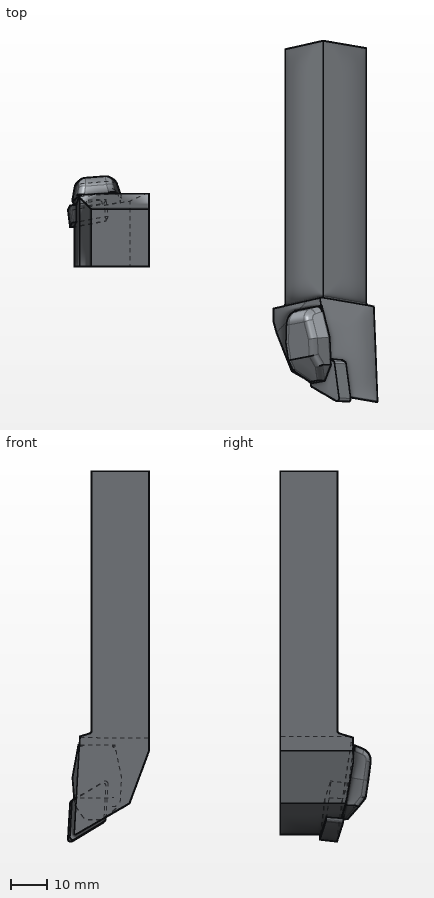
import cadquery as cq
import math


CUT_REACH = 40.6
SELECTION_MARGIN = 0.1

SHANK_WIDTH = 15.8
SHANK_DEPTH = 15.7
TOTAL_LENGTH = 101.6
HEAD_DEPTH = 20.0
HEAD_OVERHANG = 3.1
SHOULDER_Z = 29.9
SHOULDER_DROP_ANGLE = 17.0
SHOULDER_FILLET = 0.6
HEAD_LEAD_ANGLE = 3.3
TIP_Z = 1.7
TIP_FILLET = 0.3
END_RELIEF_ANGLE = 30.0
HEEL_X = 10.5
HEEL_TOP_Z = 25.0

SEAT_Y = 15.6
SEAT_TILT_ACROSS = 4.5
SEAT_TILT_ALONG = 8.4

DOME_AXIS_X = 1.7
DOME_TOP_Y = 26.8
DOME_WIDEST_Y = 17.9
DOME_NECK_Y = 10.3
DOME_NOSE_Y = 6.2
DOME_TOP_HALF_WIDTH = 5.0
DOME_HALF_WIDTH = 6.7
DOME_NECK_HALF_WIDTH = 6.2
DOME_NOSE_LEFT_X = -1.7
DOME_NOSE_RIGHT_X = 3.0
DOME_HEIGHT = 5.6
DOME_RIM = 0.5
DOME_DRAFT = 14.0
DOME_EDGE_RADIUS = 2.0
DOME_END_RADIUS = 3.7
RAMP_TOP_Y = 13.0
RAMP_NOSE_HEIGHT = 1.6

INSERT_EDGE = 11.7
INSERT_ANGLE = 55.0
INSERT_LEAD_ANGLE = 4.2
INSERT_THICKNESS = 4.8
INSERT_NOSE_RADIUS = 0.8
INSERT_TIP_X = -6.6
INSERT_SEAT_Y = 16.3
INSERT_TILT_ACROSS = 7.0
INSERT_TILT_ALONG = 6.5


def tan(degrees):
    return math.tan(math.radians(degrees))


def tilted_plane(height, tilt_across, tilt_along):
    """Plane Y = height + X tan(tilt_across) + Z tan(tilt_along); its normal points into the holder."""
    across = tan(tilt_across)
    along = tan(tilt_along)
    return cq.Plane(origin=(0, height, 0), xDir=(1, across, 0), normal=(across, -1, along))


SEAT = tilted_plane(SEAT_Y, SEAT_TILT_ACROSS, SEAT_TILT_ALONG)
INSERT_FACE = tilted_plane(INSERT_SEAT_Y, INSERT_TILT_ACROSS, INSERT_TILT_ALONG)


def make_shank():
    """Straight rectangular bar above the heel."""
    return (
        cq.Workplane("XY", origin=(0, 0, HEEL_TOP_Z))
        .rect(SHANK_WIDTH, SHANK_DEPTH, centered=False)
        .extrude(TOTAL_LENGTH - HEEL_TOP_Z)
    )


def make_head():
    """Wider lower end of the holder, with two slopes leading up to the shank."""
    shoulder_drop = HEAD_OVERHANG * tan(SHOULDER_DROP_ANGLE)
    corner_z = SHOULDER_Z - shoulder_drop
    tip_x = -HEAD_OVERHANG - (corner_z - TIP_Z) * tan(HEAD_LEAD_ANGLE)
    heel_z = TIP_Z + (HEEL_X - tip_x) * tan(END_RELIEF_ANGLE)
    blank = (
        cq.Workplane("XZ")
        .polyline(
            [
                (SHANK_WIDTH, SHOULDER_Z),
                (0, SHOULDER_Z),
                (-HEAD_OVERHANG, corner_z),
                (tip_x, TIP_Z),
                (HEEL_X, heel_z),
                (SHANK_WIDTH, HEEL_TOP_Z),
            ]
        )
        .close()
        .extrude(-HEAD_DEPTH)
        .edges(cq.selectors.NearestToPointSelector((tip_x, HEAD_DEPTH / 2, TIP_Z)))
        .fillet(TIP_FILLET)
    )
    back_overhang = HEAD_DEPTH - SHANK_DEPTH
    back_slope = (
        cq.Workplane("YZ", origin=(-CUT_REACH, 0, 0))
        .moveTo(SHANK_DEPTH, SHOULDER_Z)
        .lineTo(HEAD_DEPTH, SHOULDER_Z - back_overhang * tan(SHOULDER_DROP_ANGLE))
        .lineTo(HEAD_DEPTH, SHOULDER_Z)
        .close()
        .extrude(2 * CUT_REACH)
    )
    return blank.cut(back_slope)


def make_dome():
    """Dome on the sloping seat, modelled flat with its height along -Z and then tilted into place."""
    stations = [
        (DOME_TOP_HALF_WIDTH, DOME_TOP_Y),
        (DOME_HALF_WIDTH, DOME_WIDEST_Y),
        (DOME_NECK_HALF_WIDTH, DOME_NECK_Y),
    ]
    right = [(DOME_AXIS_X + half_width, y) for half_width, y in stations]
    left = [(DOME_AXIS_X - half_width, y) for half_width, y in reversed(stations)]
    nose = [(DOME_NOSE_RIGHT_X, DOME_NOSE_Y), (DOME_NOSE_LEFT_X, DOME_NOSE_Y)]
    outline = right + nose + left

    rim = cq.Workplane("XY").polyline(outline).close().extrude(-DOME_RIM)
    above_ramp = (
        cq.Workplane("YZ", origin=(-CUT_REACH, 0, 0))
        .moveTo(DOME_NOSE_Y, -RAMP_NOSE_HEIGHT)
        .lineTo(RAMP_TOP_Y, -DOME_HEIGHT)
        .lineTo(RAMP_TOP_Y, -CUT_REACH)
        .lineTo(DOME_NOSE_Y, -CUT_REACH)
        .close()
        .extrude(2 * CUT_REACH)
    )
    dome = (
        cq.Workplane("XY", origin=(0, 0, -DOME_RIM))
        .polyline(outline)
        .close()
        .extrude(DOME_RIM - DOME_HEIGHT, taper=DOME_DRAFT)
        .cut(above_ramp)
    )

    crown_end = (DOME_AXIS_X, DOME_TOP_Y, -DOME_HEIGHT)
    dome = dome.edges(cq.selectors.NearestToPointSelector(crown_end)).fillet(DOME_END_RADIUS)
    side_edges = dome.faces("#X and (not <Y)").edges("not (|X or >Z)")
    dome = side_edges.fillet(DOME_EDGE_RADIUS)
    dome = dome.union(rim)
    return dome.val().moved(SEAT.location)


def make_insert():
    """Rhombic insert lying on its tilted face, slid along that face until its lowest point is at Z = 0."""
    lead = math.radians(90 - INSERT_LEAD_ANGLE)
    end = lead - math.radians(INSERT_ANGLE)
    lead_x = INSERT_EDGE * math.cos(lead)
    lead_y = INSERT_EDGE * math.sin(lead)
    end_x = INSERT_EDGE * math.cos(end)
    end_y = INSERT_EDGE * math.sin(end)
    plate = (
        cq.Workplane(INSERT_FACE)
        .moveTo(INSERT_TIP_X, 0)
        .lineTo(INSERT_TIP_X + lead_x, lead_y)
        .lineTo(INSERT_TIP_X + lead_x + end_x, lead_y + end_y)
        .lineTo(INSERT_TIP_X + end_x, end_y)
        .close()
        .extrude(INSERT_THICKNESS)
        .edges(cq.selectors.ParallelDirSelector(INSERT_FACE.zDir))
        .fillet(INSERT_NOSE_RADIUS)
    )
    lowest_z = plate.val().BoundingBox().zmin
    slide = INSERT_FACE.yDir * (-lowest_z / INSERT_FACE.yDir.z)
    return plate.translate(slide)


def make_holder(insert):
    """Shank, head and dome as one solid, with a pocket that matches the insert."""
    below_seat = cq.Workplane(SEAT).rect(2 * CUT_REACH, 2 * CUT_REACH).extrude(-CUT_REACH)
    shoulder_inner_edges = cq.selectors.BoxSelector(
        (-SELECTION_MARGIN, -SELECTION_MARGIN, SHOULDER_Z - SELECTION_MARGIN),
        (SHANK_WIDTH + SELECTION_MARGIN, SHANK_DEPTH + SELECTION_MARGIN, SHOULDER_Z + SELECTION_MARGIN),
    )
    body = make_head().cut(below_seat).union(make_shank())
    body = body.edges(shoulder_inner_edges).fillet(SHOULDER_FILLET)
    return body.union(cq.Workplane(make_dome())).cut(insert)


insert = make_insert()
holder = make_holder(insert)

result = cq.Compound.makeCompound([holder.solids().val(), insert.solids().val()])